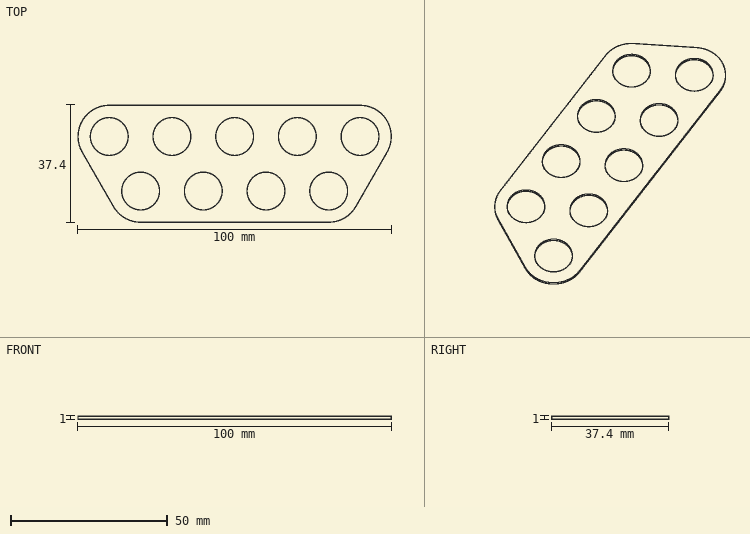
import cadquery as cq
import math

thickness = 1.0
corner_radius = 10.0
hole_diameter = 12.0
hole_pitch = 20.0
row_spacing = 17.4
long_row_count = 5
short_row_count = 4

long_row_y = row_spacing / 2
short_row_y = -row_spacing / 2
long_row_end = hole_pitch * (long_row_count - 1) / 2
short_row_end = hole_pitch * (short_row_count - 1) / 2

slope_angle = -math.atan2(long_row_end - short_row_end, row_spacing)


def corner_point(center_x, center_y, angle):
    """Point on a corner arc at the given angle from +X."""
    return (
        center_x + corner_radius * math.cos(angle),
        center_y + corner_radius * math.sin(angle),
    )


def mirrored(point):
    """The same point on the left half of the plate."""
    return (-point[0], point[1])


def row_centers(count, y):
    """Evenly pitched hole centers, symmetric about the Y axis."""
    return [((i - (count - 1) / 2) * hole_pitch, y) for i in range(count)]


top_angle = math.pi / 2
bottom_angle = -math.pi / 2
upper_start, upper_middle, upper_end = [
    corner_point(long_row_end, long_row_y, angle)
    for angle in (top_angle, (top_angle + slope_angle) / 2, slope_angle)
]
lower_start, lower_middle, lower_end = [
    corner_point(short_row_end, short_row_y, angle)
    for angle in (slope_angle, (slope_angle + bottom_angle) / 2, bottom_angle)
]

plate = (
    cq.Workplane("XY")
    .moveTo(*mirrored(upper_start))
    .lineTo(*upper_start)
    .threePointArc(upper_middle, upper_end)
    .lineTo(*lower_start)
    .threePointArc(lower_middle, lower_end)
    .lineTo(*mirrored(lower_end))
    .threePointArc(mirrored(lower_middle), mirrored(lower_start))
    .lineTo(*mirrored(upper_end))
    .threePointArc(mirrored(upper_middle), mirrored(upper_start))
    .close()
    .extrude(thickness)
)

hole_centers = row_centers(long_row_count, long_row_y) + row_centers(short_row_count, short_row_y)
holes = (
    cq.Workplane("XY")
    .pushPoints(hole_centers)
    .circle(hole_diameter / 2)
    .extrude(thickness)
)

result = plate.cut(holes)